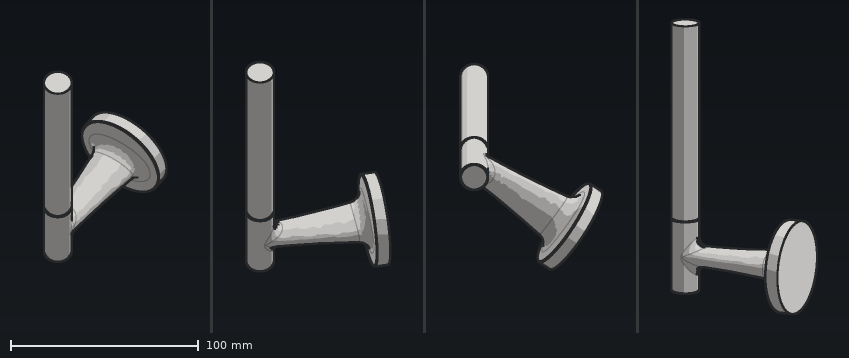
import cadquery as cq

total_depth = 73.3
total_height = 152.3

flange_radius = 50.0 / 2
flange_thickness = 7.5
flange_edge_chamfer = 0.5
cone_height = 1.7
cone_tip_radius = 7.6

post_radius = 7.5
sleeve_height = 39.9
sleeve_edge_chamfer = 0.5

arm_flange_fillet = 7.6
arm_post_fillet = 4.5
arm_root_distance = 3.8
arm_end_distance = total_depth - post_radius
arm_sections = [
    (arm_root_distance, 14.6, 8.7),
    (18.3, 12.5, 7.3),
    (37.8, 9.9, 6.0),
    (55.5, 8.0, 5.5),
    (arm_end_distance, 7.3, 5.3),
]

cone_tip_y = -flange_thickness - cone_height
post_y = -arm_end_distance
sleeve_bottom = -sleeve_height / 2
sleeve_top = sleeve_height / 2
bar_top = total_height - flange_radius


def make_flange():
    profile = (
        cq.Workplane("XY")
        .lineTo(flange_radius, 0)
        .lineTo(flange_radius, flange_edge_chamfer - flange_thickness)
        .lineTo(flange_radius - flange_edge_chamfer, -flange_thickness)
        .lineTo(cone_tip_radius, cone_tip_y)
        .lineTo(0, cone_tip_y)
        .close()
    )
    return profile.revolve(360, (0, 0, 0), (0, 1, 0))


def make_arm():
    arm = cq.Workplane("XZ")
    previous_distance = 0
    for distance, half_width, half_height in arm_sections:
        arm = arm.workplane(offset=distance - previous_distance)
        arm = arm.ellipse(half_width, half_height)
        previous_distance = distance
    return arm.loft()


def make_rod(bottom, top):
    base = cq.Workplane("XY", origin=(0, post_y, bottom))
    return base.circle(post_radius).extrude(top - bottom)


def fillet_joint(body, y_min, y_max, radius):
    """Round the closed edge whose centre lies near the arm axis between y_min and y_max."""
    near_axis = post_radius / 2
    joint = cq.selectors.BoxSelector((-near_axis, y_min, -near_axis), (near_axis, y_max, near_axis))
    return body.edges(joint).fillet(radius)


body = make_flange().union(make_arm())
body = fillet_joint(body, cone_tip_y, (cone_tip_y - flange_thickness) / 2, arm_flange_fillet)

sleeve = make_rod(sleeve_bottom, sleeve_top).faces("<Z or >Z").chamfer(sleeve_edge_chamfer)
body = body.union(sleeve)
body = fillet_joint(body, post_y - post_radius, post_y + post_radius, arm_post_fillet)

bar = make_rod(sleeve_top, bar_top)
result = body.union(bar)